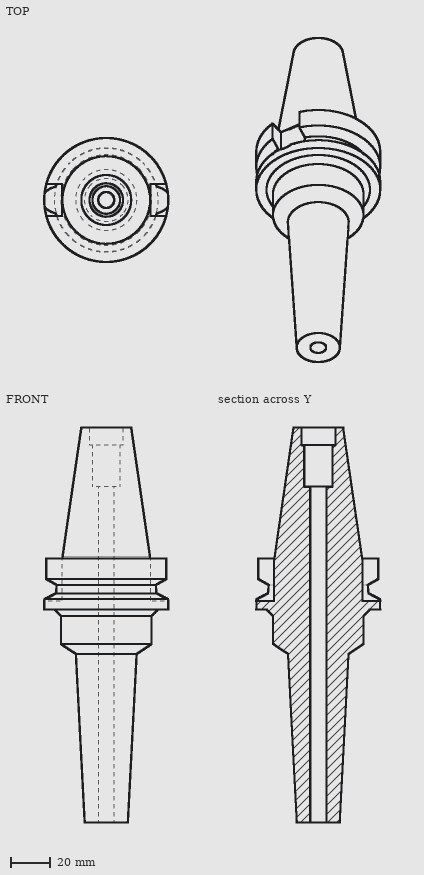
import cadquery as cq
import math


gauge_diameter = 44.45
taper_length = 65.4
taper_ratio = 7 / 24
taper_small_diameter = gauge_diameter - taper_length * taper_ratio

flange_diameter = 63.0
flange_top_z = -1.0
flange_bottom_z = -27.0
groove_floor_diameter = 53.0
groove_center_z = -16.6
groove_floor_width = 4.3
groove_wall_angle = 30.0

collar_diameter = 46.0
collar_flare = 3.25
collar_bottom_z = -44.5

nose_length = 135.0
nose_tip_diameter = 22.0
nose_half_angle = 3.0
nose_top_z = -49.5

key_slot_width = 16.1
key_slot_bottom_z = -22.6
key_slot_floor_x = 22.5

entry_bore_diameter = 17.0
entry_bore_depth = 9.0
thread_bore_diameter = 14.0
thread_bore_depth = 30.0
through_hole_diameter = 8.0


def make_body():
    """Revolve the outer half profile about the spindle axis."""
    flange_radius = flange_diameter / 2
    groove_radius = groove_floor_diameter / 2
    collar_radius = collar_diameter / 2
    groove_wall_height = (flange_radius - groove_radius) * math.tan(math.radians(groove_wall_angle))
    groove_floor_half = groove_floor_width / 2
    groove_mouth_half = groove_floor_half + groove_wall_height
    nose_taper_height = nose_length + nose_top_z
    nose_top_radius = nose_tip_diameter / 2 + nose_taper_height * math.tan(math.radians(nose_half_angle))

    profile = (
        cq.Workplane("XZ")
        .moveTo(0, taper_length)
        .lineTo(taper_small_diameter / 2, taper_length)
        .lineTo(gauge_diameter / 2, 0)
        .lineTo(gauge_diameter / 2, flange_top_z)
        .lineTo(flange_radius, flange_top_z)
        .lineTo(flange_radius, groove_center_z + groove_mouth_half)
        .lineTo(groove_radius, groove_center_z + groove_floor_half)
        .lineTo(groove_radius, groove_center_z - groove_floor_half)
        .lineTo(flange_radius, groove_center_z - groove_mouth_half)
        .lineTo(flange_radius, flange_bottom_z)
        .lineTo(collar_radius + collar_flare, flange_bottom_z)
        .lineTo(collar_radius, flange_bottom_z - collar_flare)
        .lineTo(collar_radius, collar_bottom_z)
        .lineTo(nose_top_radius, nose_top_z)
        .lineTo(nose_tip_diameter / 2, -nose_length)
        .lineTo(0, -nose_length)
        .close()
    )
    return profile.revolve(360, (0, 0, 0), (0, 1, 0))


def make_key_slot(side):
    """Round-bottomed slot cutter on one side: -1 for -X, +1 for +X."""
    slot_radius = key_slot_width / 2
    slot_depth = flange_diameter / 2 - key_slot_floor_x
    arc_center_z = key_slot_bottom_z + slot_radius
    return (
        cq.Workplane("YZ", origin=(side * key_slot_floor_x, 0, 0))
        .moveTo(-slot_radius, flange_top_z)
        .lineTo(-slot_radius, arc_center_z)
        .threePointArc((0, key_slot_bottom_z), (slot_radius, arc_center_z))
        .lineTo(slot_radius, flange_top_z)
        .close()
        .extrude(side * slot_depth)
    )


def make_bore_step(diameter, depth):
    """Cylinder running down from the top face of the taper."""
    return cq.Workplane("XY", origin=(0, 0, taper_length)).circle(diameter / 2).extrude(-depth)


bore_steps = (
    (entry_bore_diameter, entry_bore_depth),
    (thread_bore_diameter, thread_bore_depth),
    (through_hole_diameter, taper_length + nose_length),
)

result = make_body()
for side in (-1, 1):
    result = result.cut(make_key_slot(side))
for diameter, depth in bore_steps:
    result = result.cut(make_bore_step(diameter, depth))